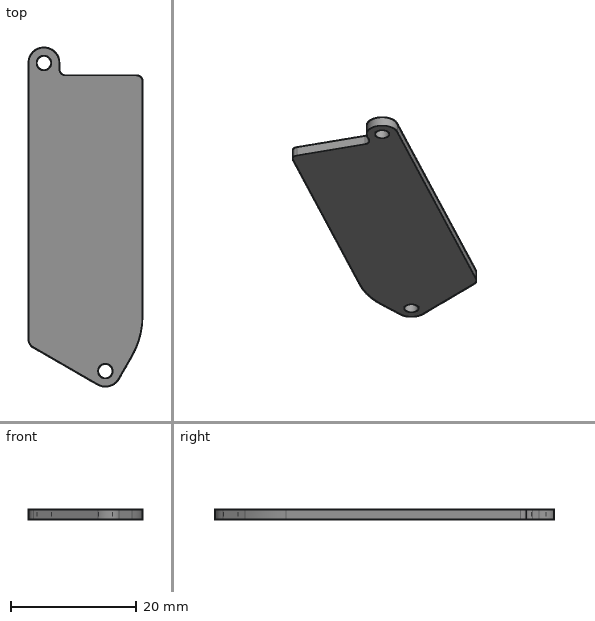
import cadquery as cq
import math

width = 18.25
length = 54.15
thickness = 1.6

lug_radius = 2.5
hole_diameter = 2.3
tab_center = (lug_radius, length - lug_radius)
tip_center = (12.3, lug_radius)

shoulder_y = 49.75
shoulder_radius = 1.0
left_corner_radius = 1.5
right_bend_radius = 13

slope_angle = math.radians(30)
slope = math.tan(slope_angle)
tip_x = tip_center[0] + lug_radius * (math.cos(slope_angle) - math.sin(slope_angle))
tip_y = tip_center[1] - lug_radius * (math.cos(slope_angle) + math.sin(slope_angle))
left_corner = (0, tip_y + tip_x * slope)
right_bend = (width, tip_y + (width - tip_x) / slope)
tab_root = (2 * lug_radius, shoulder_y)
shoulder_corner = (width, shoulder_y)


def round_corner(plate, corner, radius):
    """Fillet the upright edge that passes through the given XY corner."""
    edge = cq.selectors.NearestToPointSelector((*corner, thickness / 2))
    return plate.edges("|Z").edges(edge).fillet(radius)


plate = (
    cq.Workplane("XY")
    .moveTo(*left_corner)
    .lineTo(tip_x, tip_y)
    .lineTo(*right_bend)
    .lineTo(*shoulder_corner)
    .lineTo(*tab_root)
    .lineTo(2 * lug_radius, tab_center[1])
    .threePointArc((lug_radius, length), (0, tab_center[1]))
    .close()
    .extrude(thickness)
)

for corner, radius in (
    (left_corner, left_corner_radius),
    ((tip_x, tip_y), lug_radius),
    (right_bend, right_bend_radius),
    (shoulder_corner, shoulder_radius),
    (tab_root, shoulder_radius),
):
    plate = round_corner(plate, corner, radius)

holes = (
    cq.Workplane("XY")
    .pushPoints([tab_center, tip_center])
    .circle(hole_diameter / 2)
    .extrude(thickness)
)

result = plate.cut(holes)